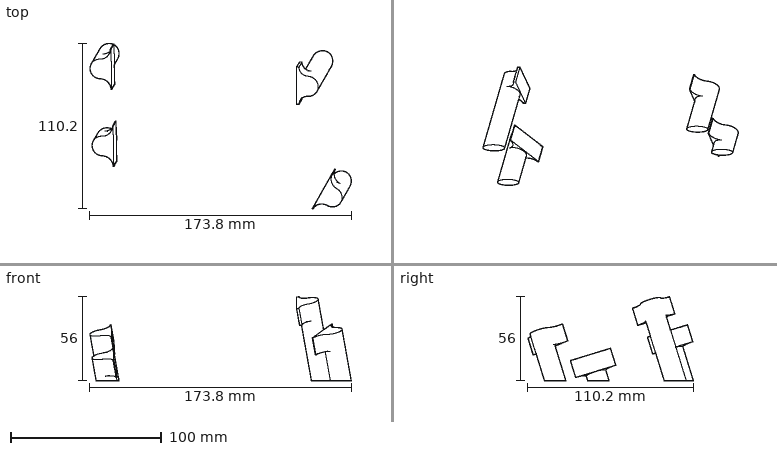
import cadquery as cq
import math

PITCH = 17.2
ROLL = 9.7
PLANE_HEIGHT = 34.6

POST_SETBACK = 7.6
HEAD_HEIGHT = 12.0
POST_LENGTH = 86.9
GROUND_BLOCK = 521.5

STANDARD = (6.87, 7.1)
SHORT_FLARE = (7.04, 5.9)

FEET = [
    (-73.7, 35.5, 181.0, STANDARD),
    (-72.3, -18.0, 181.0, STANDARD),
    (51.1, 30.6, 0.0, SHORT_FLARE),
    (68.3, -42.0, -28.0, STANDARD),
]


def head_outline(post_radius, flare_radius):
    """Back edge on the local Y axis, round post end toward local +X."""
    half_back = post_radius + flare_radius
    tip_thickness = POST_SETBACK - flare_radius
    bend = flare_radius * math.sqrt(0.5)
    flare_x = POST_SETBACK - bend
    flare_y = half_back - bend
    return (
        cq.Workplane("XY")
        .moveTo(0, -half_back)
        .lineTo(tip_thickness, -half_back)
        .threePointArc((flare_x, -flare_y), (POST_SETBACK, -post_radius))
        .threePointArc((POST_SETBACK + post_radius, 0), (POST_SETBACK, post_radius))
        .threePointArc((flare_x, flare_y), (tip_thickness, half_back))
        .lineTo(0, half_back)
        .close()
    )


def tilt(body):
    """Carry a body from the level plane to the inclined plane."""
    return (
        body.rotate((0, 0, 0), (0, 1, 0), -ROLL)
        .rotate((0, 0, 0), (1, 0, 0), PITCH)
        .translate((0, 0, PLANE_HEIGHT))
    )


def make_foot(x, y, facing, size):
    post_radius, flare_radius = size
    head = head_outline(post_radius, flare_radius).extrude(-HEAD_HEIGHT)
    post = cq.Workplane("XY").center(POST_SETBACK, 0).circle(post_radius).extrude(-POST_LENGTH)
    foot = head.union(post).rotate((0, 0, 0), (0, 0, 1), facing).translate((x, y, 0))
    above_ground = cq.Workplane("XY").box(
        GROUND_BLOCK, GROUND_BLOCK, GROUND_BLOCK, centered=(True, True, False)
    )
    return tilt(foot).intersect(above_ground)


feet = [make_foot(*place) for place in FEET]
result = cq.Compound.makeCompound([foot.val() for foot in feet])